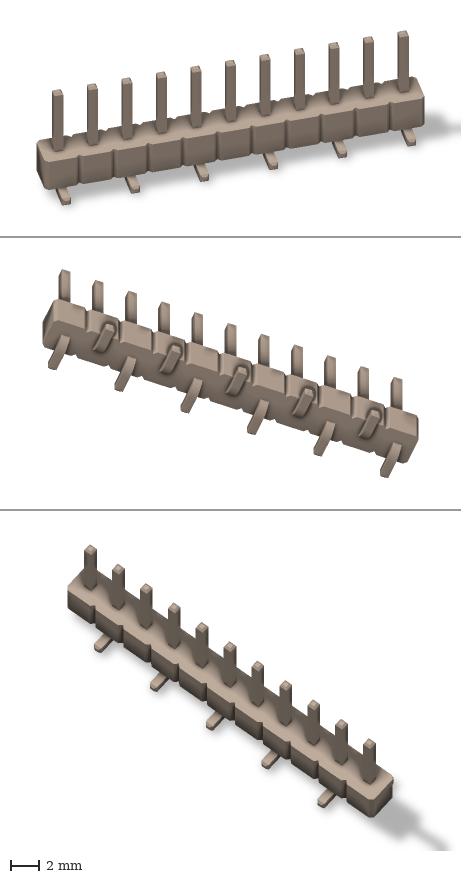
import cadquery as cq


pin_count = 11
row_length = 27.95
pitch = row_length / pin_count

body_width = 2.6
body_height = 2.55
body_bottom = 0.75
corner_cut = 0.257

pin_size = 0.65
pin_top = 8.55
foot_span = 5.0
foot_reach = foot_span / 2
bend_inner_radius = 0.65
tip_chamfer = 0.16


def pin_y(index):
    """Position of a pin along the row, which is centred on the origin."""
    return (index - (pin_count - 1) / 2) * pitch


def make_body():
    """Row of chamfered blocks, one per pin, whose corner cuts form V notches."""
    block = (
        cq.Workplane("XY")
        .workplane(offset=body_bottom)
        .box(body_width, pitch, body_height, centered=(True, True, False))
        .edges("|Z")
        .chamfer(corner_cut)
    )
    row = block.translate((0, pin_y(0), 0))
    for index in range(1, pin_count):
        row = row.union(block.translate((0, pin_y(index), 0)))
    return row


def make_pin():
    """Square pin with its foot bent towards +X and both tips chamfered."""
    half_size = pin_size / 2
    bend_radius = bend_inner_radius + half_size
    centerline = (
        cq.Workplane("XZ")
        .moveTo(0, pin_top)
        .lineTo(0, half_size + bend_radius)
        .radiusArc((bend_radius, half_size), -bend_radius)
        .lineTo(foot_reach, half_size)
    )
    pin = (
        cq.Workplane("XY")
        .workplane(offset=pin_top)
        .rect(pin_size, pin_size)
        .sweep(centerline)
    )
    return pin.faces(">Z or >X").chamfer(tip_chamfer)


right_pin = make_pin()
left_pin = right_pin.mirror("YZ")

result = make_body()
for index in range(pin_count):
    pin = right_pin if index % 2 == 0 else left_pin
    result = result.union(pin.translate((0, pin_y(index), 0)))